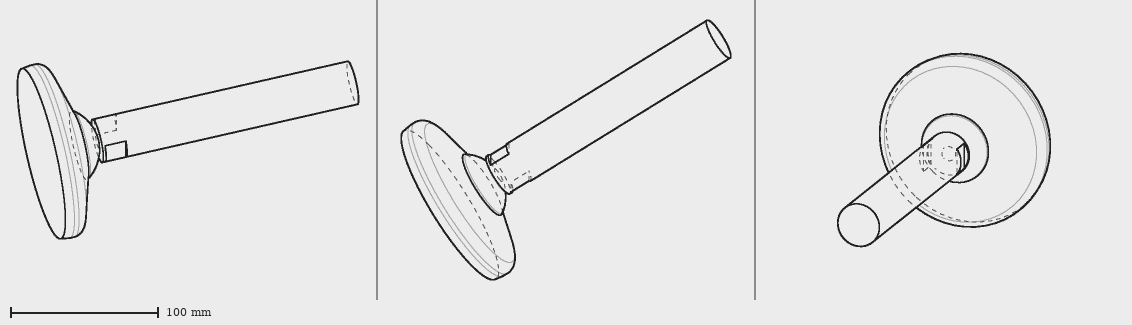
import cadquery as cq
import math

total_length = 219.0

foot_radius = 60.0
face_radius = 59.1
rim_start = 6.0
rim_end = 9.2
shoulder_radius = 54.8
shoulder_height = 16.0
cone_top_radius = 24.0
cone_top_height = 26.5

ball_base_radius = 23.5
ball_base_height = 27.8
ball_top_height = 39.9

shaft_radius = 15.0
shaft_start = 39.5
flat_width = 24.0
flat_start = 41.5
flat_end = 56.0


def make_foot():
    """Foot plate and ball, revolved from one half profile."""
    ball_rise = ball_top_height - ball_base_height
    ball_radius = (ball_base_radius**2 + ball_rise**2) / (2 * ball_rise)
    ball_center = ball_top_height - ball_radius
    mid_angle = math.asin(ball_base_radius / ball_radius) / 2
    ball_middle = (
        ball_radius * math.sin(mid_angle),
        ball_center + ball_radius * math.cos(mid_angle),
    )
    profile = (
        cq.Workplane("XY")
        .lineTo(face_radius, 0)
        .lineTo(foot_radius, rim_start)
        .lineTo(foot_radius, rim_end)
        .tangentArcPoint((shoulder_radius, shoulder_height), relative=False)
        .lineTo(cone_top_radius, cone_top_height)
        .lineTo(ball_base_radius, ball_base_height)
        .threePointArc(ball_middle, (0, ball_top_height))
        .close()
    )
    return profile.revolve(360, (0, 0, 0), (0, 1, 0))


def make_shaft():
    """Plain round shaft with two opposed wrench flats near the ball."""
    shaft = cq.Workplane("XZ", origin=(0, shaft_start, 0)).circle(shaft_radius)
    shaft = shaft.extrude(-(total_length - shaft_start))
    flat_length = flat_end - flat_start
    for side in (-1, 1):
        cutter = cq.Workplane("XY").box(shaft_radius, flat_length, 2 * shaft_radius)
        offset = side * (flat_width + shaft_radius) / 2
        shaft = shaft.cut(cutter.translate((offset, (flat_start + flat_end) / 2, 0)))
    return shaft


result = make_foot().union(make_shaft())